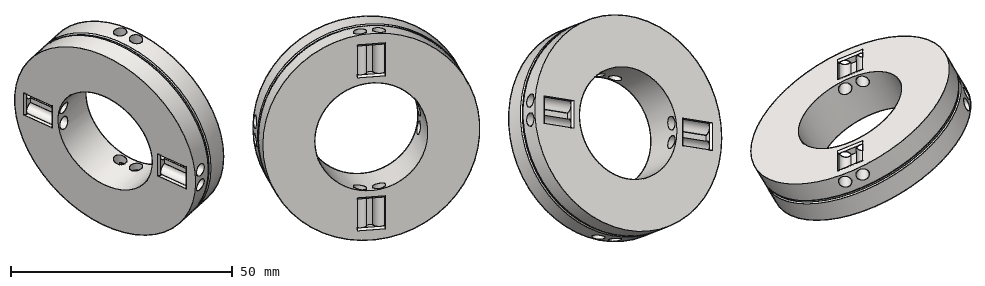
import cadquery as cq

outer_diameter = 50
bore_diameter = 26
thickness = 11
outer_radius = outer_diameter / 2
front_y = -thickness / 2

groove_width = 1
groove_floor_width = 0.4
groove_depth = 0.3

hole_diameter = 3
hole_pitch = 4.4
hole_depth = 2

pocket_length = 7
pocket_width = 6.4
pocket_center_radius = 18.5
pocket_end_chamfer = 0.5
pocket_floor_y = front_y + hole_depth


def make_ring():
    """Plain ring with the groove around its rim."""
    ring = (
        cq.Workplane("XZ")
        .circle(outer_radius)
        .circle(bore_diameter / 2)
        .extrude(thickness / 2, both=True)
    )
    groove = (
        cq.Workplane("XY")
        .polyline([
            (outer_radius, -groove_width / 2),
            (outer_radius - groove_depth, -groove_floor_width / 2),
            (outer_radius - groove_depth, groove_floor_width / 2),
            (outer_radius, groove_width / 2),
        ])
        .close()
        .revolve(360, (0, 0, 0), (0, 1, 0))
    )
    return ring.cut(groove)


def make_pocket(center_x):
    """Rectangular pocket in the front face, with its two ends chamfered."""
    half_length = pocket_length / 2
    mouth_half_length = half_length + pocket_end_chamfer
    chamfer_y = front_y + pocket_end_chamfer
    return (
        cq.Workplane("XY")
        .polyline([
            (center_x - mouth_half_length, front_y),
            (center_x - half_length, chamfer_y),
            (center_x - half_length, pocket_floor_y),
            (center_x + half_length, pocket_floor_y),
            (center_x + half_length, chamfer_y),
            (center_x + mouth_half_length, front_y),
        ])
        .close()
        .extrude(pocket_width / 2, both=True)
    )


def make_front_cuts():
    """Pair of holes along X, with a pocket over them on each side of the bore."""
    holes = (
        cq.Workplane("YZ")
        .pushPoints([(pocket_floor_y, -hole_pitch / 2), (pocket_floor_y, hole_pitch / 2)])
        .circle(hole_diameter / 2)
        .extrude(outer_diameter, both=True)
    )
    for side in (-1, 1):
        holes = holes.union(make_pocket(side * pocket_center_radius))
    return holes


front_cuts = make_front_cuts()
back_cuts = front_cuts.mirror("XZ").rotate((0, 0, 0), (0, 1, 0), 90)

result = make_ring().cut(front_cuts).cut(back_cuts)